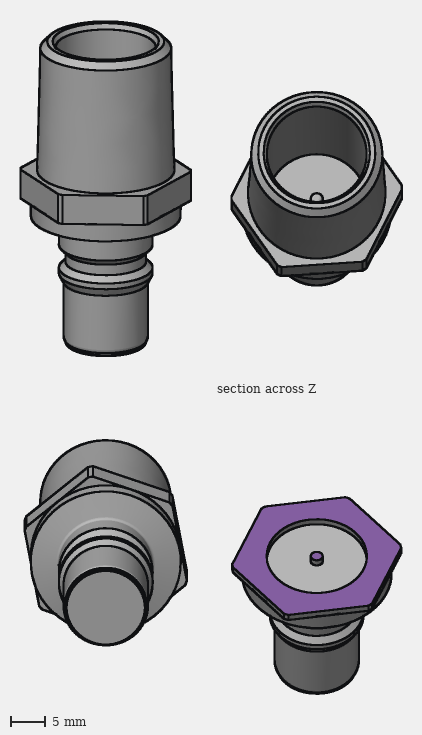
import cadquery as cq
import math

total_height = 47.0
hex_across_flats = 22.0
hex_across_corners = 25.0
collar_radius = hex_across_flats / 2

plug_radius = 12.4 / 2
plug_rounding_top = 1.1
plug_rounding_bottom = 0.55
plug_rounding_inset = 0.2
plug_tip_radius = 11.85 / 2
plug_tip_bevel = 0.2
ring_radius = 13.75 / 2
neck_radius = 11.85 / 2
plug_top = 9.6
ring_bottom = 10.85
ring_top = 11.75
neck_bottom = 12.7
neck_top = 14.35
shoulder_bottom = 15.3

shoulder_top = 19.0
shoulder_fillet = 0.4
collar_bottom = 19.85
hex_bottom = 22.45
hex_top = 27.0

body_base_radius = 20.15 / 2
body_top_radius = 19.2 / 2
body_chamfer = 1.05

bore_radius = 14.6 / 2
mouth_radius = 15.55 / 2
mouth_depth = (mouth_radius - bore_radius) * math.tan(math.radians(60))
bore_floor = hex_bottom
pin_radius = 1.8 / 2
pin_height = 1.9
pin_tip_rounding = 0.5


def make_turned_body():
    """Revolve the outer half-profile about the Z axis."""
    rounding_height = plug_rounding_top - plug_rounding_bottom
    rounding_angle = 2 * math.atan(plug_rounding_inset / rounding_height)
    rounding_radius = rounding_height / math.sin(rounding_angle)
    rounding_middle = (
        plug_radius - rounding_radius * (1 - math.cos(rounding_angle / 2)),
        plug_rounding_top - rounding_radius * math.sin(rounding_angle / 2),
    )
    profile = (
        cq.Workplane("XZ")
        .moveTo(0, 0)
        .lineTo(plug_tip_radius - plug_tip_bevel, 0)
        .lineTo(plug_tip_radius, plug_tip_bevel)
        .lineTo(plug_radius - plug_rounding_inset, plug_rounding_bottom)
        .threePointArc(rounding_middle, (plug_radius, plug_rounding_top))
        .lineTo(plug_radius, plug_top)
        .lineTo(ring_radius, ring_bottom)
        .lineTo(ring_radius, ring_top)
        .lineTo(neck_radius, neck_bottom)
        .lineTo(neck_radius, neck_top)
        .lineTo(ring_radius, shoulder_bottom)
        .lineTo(ring_radius, shoulder_top)
        .lineTo(collar_radius, collar_bottom)
        .lineTo(collar_radius, hex_bottom)
        .lineTo(body_base_radius, hex_bottom)
        .lineTo(body_base_radius, hex_top)
        .lineTo(body_top_radius, total_height - body_chamfer)
        .lineTo(body_top_radius - body_chamfer, total_height)
        .lineTo(0, total_height)
        .close()
    )
    body = profile.revolve(360, (0, 0), (0, 1))
    shoulder_corner = cq.selectors.BoxSelector(
        (-collar_radius, -collar_radius, shoulder_top - shoulder_fillet),
        (collar_radius, collar_radius, shoulder_top + shoulder_fillet),
        boundingbox=True,
    )
    return body.edges(shoulder_corner).fillet(shoulder_fillet)


def make_hex():
    """Hexagon with flats on +X and -X and its corners turned round."""
    sharp_corners = hex_across_flats / math.cos(math.pi / 6)
    height = hex_top - hex_bottom
    base = cq.Workplane("XY").workplane(offset=hex_bottom)
    prism = base.transformed(rotate=(0, 0, 90)).polygon(6, sharp_corners).extrude(height)
    return prism.intersect(base.circle(hex_across_corners / 2).extrude(height))


def make_bore():
    """Blind bore that widens in a cone at its mouth."""
    profile = (
        cq.Workplane("XZ")
        .moveTo(0, bore_floor)
        .lineTo(bore_radius, bore_floor)
        .lineTo(bore_radius, total_height - mouth_depth)
        .lineTo(mouth_radius, total_height)
        .lineTo(0, total_height)
        .close()
    )
    return profile.revolve(360, (0, 0), (0, 1))


def make_pin():
    """Small round-tipped pin standing on the bore floor."""
    pin = cq.Workplane("XY").workplane(offset=bore_floor).circle(pin_radius).extrude(pin_height)
    return pin.faces(">Z").edges().fillet(pin_tip_rounding)


result = make_turned_body().union(make_hex()).cut(make_bore()).union(make_pin())